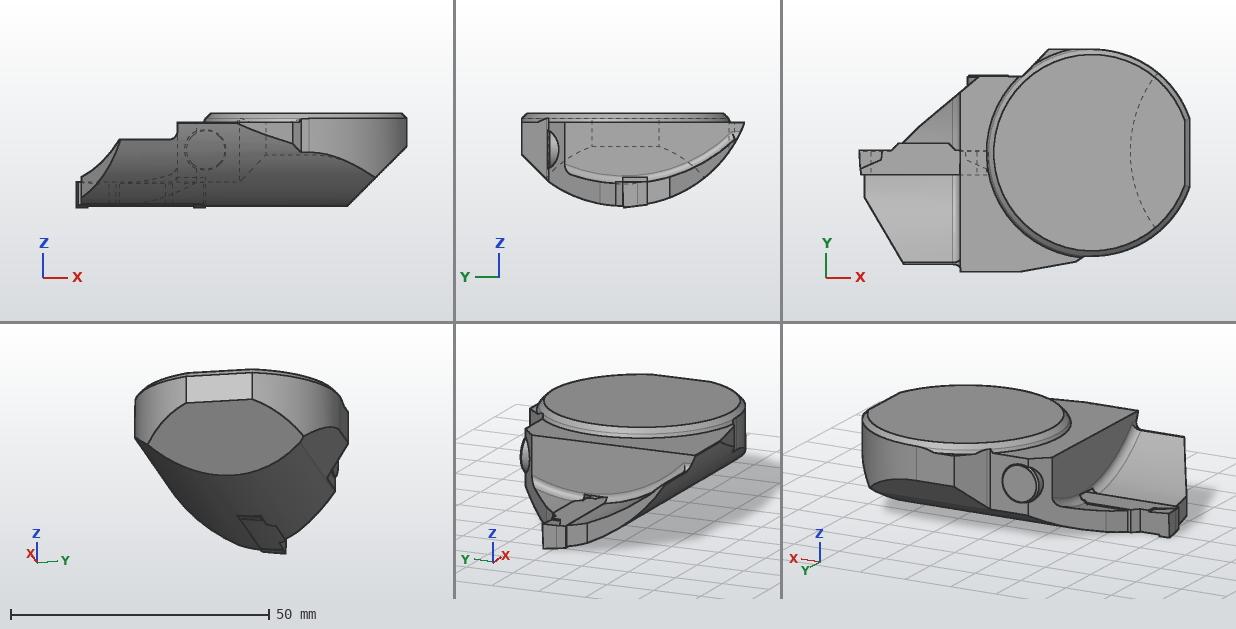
import cadquery as cq
import math


disc_radius = 20.05
disc_height = 1.8
disc_chamfer = 1.0
flat_x = 19.0
skirt_width = 0.4

axis_y = 0.25
belly_radius = 25.0
belly_bottom = -16.2
floor_radius = 31.2
floor_bottom = -11.85
floor_fillet = 1.55
ledge_z = -3.3
ledge_fillet = 1.55

wall_x = -25.5
arm_tip_x = -44.1
front_y = -23.1
arm_chamfer_start_y = -8.65
arm_chamfer_end_x = -35.65
back_y = 14.8
diagonal_end_x = -21.85
diagonal_angle = 39.9
kink_y = 4.95
ear_inner_x = -13.45
ear_outer_x = -8.4
front_end_x = -13.85
shoulder_start_x = -3.15
shoulder_y = -21.15
shoulder_end_x = -1.55
rear_chamfer_z = -4.6
side_chamfer_z = -6.2

boss_radius = 4.1
boss_x = -20.05
boss_z = -5.25
boss_end_y = 15.0
boss_depth = 5.1
boss_chamfer = 0.4

insert_tip_x = -45.1
insert_length = 25.0
insert_back_y = 0.5
insert_front_y = -4.3
insert_top = -11.55
insert_bottom_back = -16.55
insert_bottom_front = -15.95
tip_setback = 0.4
edge_kink_y = -2.4
edge_setback = 0.1
side_relief = 0.2
waist_half_length = 4.8
waist_depth = 1.35
relief_half_length = 10.25
slot_top = -10.65
chip_face_length = 4.5
chip_face_drop = 0.3
chip_face_taper = 0.2
chip_face_side = 1.85
chip_face_nose = 0.5
chip_face_width = 3.5

reach = 64.1


def x_cylinder(radius, bottom, start_x, length):
    return (
        cq.Workplane("YZ", origin=(start_x, axis_y, bottom + radius))
        .circle(radius)
        .extrude(length)
    )


def block_outline():
    kink_x = diagonal_end_x - (back_y - kink_y) / math.tan(math.radians(diagonal_angle))
    seat_x = kink_x - (kink_y - insert_back_y)
    insert_middle_y = (insert_back_y + insert_front_y) / 2
    return [
        (arm_tip_x, arm_chamfer_start_y),
        (arm_tip_x, insert_middle_y),
        (seat_x, insert_middle_y),
        (seat_x, insert_back_y),
        (kink_x, kink_y),
        (diagonal_end_x, back_y),
        (ear_inner_x, back_y),
        (ear_outer_x, disc_radius),
        (0, disc_radius),
        (0, -disc_radius),
        (shoulder_end_x, -disc_radius),
        (shoulder_start_x, shoulder_y),
        (front_end_x, front_y),
        (arm_chamfer_end_x, front_y),
    ]


def trimmed_disc(bottom, top):
    disc = cq.Workplane("XY").workplane(offset=bottom).circle(disc_radius).extrude(top - bottom)
    beyond_flat = cq.Workplane("XY").box(reach, reach, reach).translate((flat_x + reach / 2, 0, 0))
    return disc.cut(beyond_flat)


def make_base():
    depth = -belly_bottom
    block = cq.Workplane("XY").polyline(block_outline()).close().extrude(-depth)
    base = block.union(trimmed_disc(-depth, 0))
    base = base.intersect(x_cylinder(belly_radius, belly_bottom, -reach, 2 * reach))
    rear_cut = (
        cq.Workplane("XZ")
        .polyline([
            (flat_x, rear_chamfer_z),
            (flat_x, rear_chamfer_z - reach),
            (flat_x - reach, rear_chamfer_z - reach),
        ])
        .close()
        .extrude(reach, both=True)
    )
    side_cut = (
        cq.Workplane("YZ")
        .polyline([
            (disc_radius, side_chamfer_z),
            (disc_radius, side_chamfer_z - reach),
            (disc_radius - reach, side_chamfer_z - reach),
        ])
        .close()
        .extrude(reach, both=True)
    )
    return base.cut(rear_cut).cut(side_cut)


def make_arm_recess():
    """Space above the arm: a concave floor and a ledge, both rounded into the wall."""
    hollow = x_cylinder(floor_radius, floor_bottom, wall_x - reach, reach)
    hollow = hollow.faces(">X").edges().fillet(floor_fillet)
    above_ledge = (
        cq.Workplane("XY")
        .box(reach, reach, reach)
        .translate((wall_x - reach / 2, 0, ledge_z + reach / 2))
        .edges("|Y and >X and <Z")
        .fillet(ledge_fillet)
    )
    return hollow.union(above_ledge)


def make_disc_top(base):
    disc = trimmed_disc(0, disc_height).faces(">Z").edges().chamfer(disc_chamfer)
    skirt = cq.Workplane(
        cq.Solid.makeCone(disc_radius + skirt_width, disc_radius, disc_height - disc_chamfer)
    )
    base_shadow = base.faces(">Z").wires().toPending().extrude(disc_height)
    return disc.union(skirt.intersect(base_shadow))


def make_boss():
    return (
        cq.Workplane("XZ", origin=(boss_x, boss_end_y, boss_z))
        .circle(boss_radius)
        .extrude(boss_depth)
        .faces(">Y")
        .edges()
        .chamfer(boss_chamfer)
    )


def make_insert_blank():
    middle_x = insert_tip_x + insert_length / 2
    half = insert_length / 2
    end = half - tip_setback
    blade_plan = (
        cq.Workplane("XY", origin=(middle_x, 0, insert_top))
        .polyline([
            (-half, insert_back_y),
            (half, insert_back_y),
            (half - edge_setback, edge_kink_y),
            (end, insert_front_y),
            (-end, insert_front_y),
            (-half + edge_setback, edge_kink_y),
        ])
        .close()
        .extrude(insert_bottom_back - insert_top)
    )
    blade_section = (
        cq.Workplane("YZ", origin=(insert_tip_x, 0, 0))
        .polyline([
            (insert_back_y, insert_top),
            (insert_back_y - side_relief, insert_bottom_back),
            (insert_front_y, insert_bottom_front),
            (insert_front_y, insert_top),
        ])
        .close()
        .extrude(insert_length)
    )
    waist_foot = waist_half_length + waist_depth
    waist = (
        cq.Workplane("XY", origin=(middle_x, insert_back_y, insert_top))
        .polyline([
            (-waist_foot, 0),
            (-waist_half_length, waist_depth),
            (waist_half_length, waist_depth),
            (waist_foot, 0),
            (waist_foot, insert_front_y / 2),
            (-waist_foot, insert_front_y / 2),
        ])
        .close()
        .extrude(belly_bottom - insert_top)
    )
    relief_length = 2 * relief_half_length
    middle_band = cq.Workplane("XY").box(relief_length, reach, reach).translate((middle_x, 0, 0))
    belly = x_cylinder(belly_radius, belly_bottom, insert_tip_x, insert_length)
    blank = blade_plan.intersect(blade_section).union(waist)
    return blank.cut(middle_band.cut(belly))


def make_chip_face_cut():
    """Wedge that slopes down inward from the cutting edge, narrower in plan toward -Y."""
    wedge = (
        cq.Workplane("XZ", origin=(insert_tip_x, insert_back_y, insert_top))
        .polyline([
            (0, 0),
            (chip_face_length, 0),
            (chip_face_length, -chip_face_drop),
        ])
        .close()
        .extrude(insert_back_y - insert_front_y)
    )
    plan = (
        cq.Workplane("XY", origin=(insert_tip_x, insert_back_y, insert_top))
        .polyline([
            (0, 0),
            (chip_face_length, 0),
            (chip_face_length - chip_face_taper, -chip_face_side),
            (chip_face_nose, -chip_face_width),
            (0, -chip_face_width),
        ])
        .close()
        .extrude(-2 * chip_face_drop)
    )
    return wedge.intersect(plan)


def make_insert_slot():
    """Clearance above the insert where it runs into the wall."""
    return cq.Workplane("XY").box(
        insert_length,
        insert_back_y - insert_front_y,
        slot_top - insert_top,
        centered=False,
    ).translate((insert_tip_x, insert_front_y, insert_top))


insert_blank = make_insert_blank()
chip_face = make_chip_face_cut()
far_chip_face = chip_face.mirror("YZ", (insert_tip_x + insert_length / 2, 0, 0))
insert = insert_blank.cut(chip_face).cut(far_chip_face)

base = make_base()
disc_top = make_disc_top(base)
holder = base.cut(make_arm_recess()).union(make_boss()).union(disc_top)
holder = holder.cut(make_insert_slot()).cut(insert_blank)

result = cq.Compound.makeCompound([holder.val(), insert.val()])